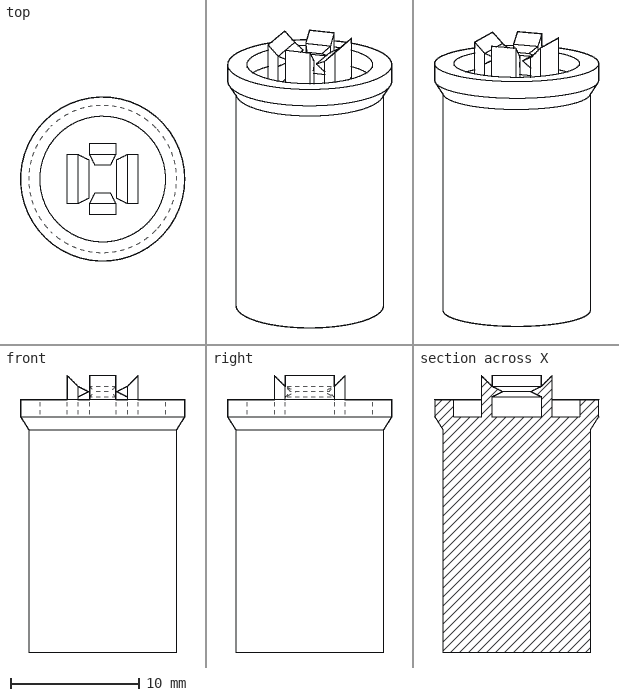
import cadquery as cq

total_height = 21.6
body_diameter = 11.51
rim_diameter = 12.8
recess_diameter = 9.8
jaw_rise = 1.88
rim_height = 1.35
flare_height = 1.04
recess_depth = 1.35

jaw_reach = 2.76
jaw_thickness = 0.85
wide_jaw_width = 3.82
narrow_jaw_width = 2.05

rim_top = total_height - jaw_rise
rim_bottom = rim_top - rim_height
flare_bottom = rim_bottom - flare_height
recess_floor = rim_top - recess_depth
jaw_inner = jaw_reach - jaw_thickness
barb_tip = jaw_inner - jaw_thickness
barb_top = total_height - jaw_thickness
barb_bottom = barb_top - jaw_thickness
barb_middle = (barb_top + barb_bottom) / 2
barb_end_inset = jaw_thickness / 2


def make_body():
    """Solid round body with a flared rim and a shallow recess in its top."""
    half_section = [
        (0, 0),
        (body_diameter / 2, 0),
        (body_diameter / 2, flare_bottom),
        (rim_diameter / 2, rim_bottom),
        (rim_diameter / 2, rim_top),
        (recess_diameter / 2, rim_top),
        (recess_diameter / 2, recess_floor),
        (0, recess_floor),
    ]
    return cq.Workplane("XZ").polyline(half_section).close().revolve(360, (0, 0), (0, 1))


def make_jaw(width):
    """Jaw on the +X side: a plate with a sloped top and an inward pointed barb."""
    profile = [
        (jaw_reach, recess_floor),
        (jaw_reach, total_height),
        (jaw_inner, barb_top),
        (barb_tip, barb_middle),
        (jaw_inner, barb_bottom),
        (jaw_inner, recess_floor),
    ]
    half_width = width / 2
    tip_half_width = half_width - barb_end_inset
    plan = [
        (jaw_reach, -half_width),
        (jaw_reach, half_width),
        (jaw_inner, half_width),
        (barb_tip, tip_half_width),
        (barb_tip, -tip_half_width),
        (jaw_inner, -half_width),
    ]
    side_shape = cq.Workplane("XZ").polyline(profile).close().extrude(half_width, both=True)
    plan_shape = cq.Workplane("XY").polyline(plan).close().extrude(total_height)
    return side_shape.intersect(plan_shape)


result = make_body()
for width, first_angle in ((wide_jaw_width, 0), (narrow_jaw_width, 90)):
    for angle in (first_angle, first_angle + 180):
        result = result.union(make_jaw(width).rotate((0, 0, 0), (0, 0, 1), angle))